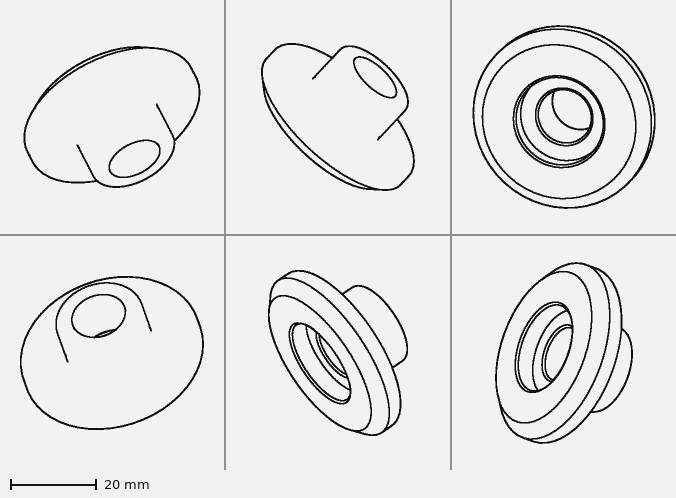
import cadquery as cq

flange_diameter = 43.0
total_length = 18.5
flange_thickness = 7.0
flange_bevel = 3.0
hub_diameter = 20.8
bore_diameter = 12.8
recess_diameter = 21.03
recess_depth = 4.75
edge_round = 1.0
root_fillet = 0.5
edge_chamfer = 0.5


def disc(diameter, start, length):
    """Cylinder along +X from the given start position."""
    return cq.Workplane("YZ", origin=(start, 0, 0)).circle(diameter / 2).extrude(length)


def flared_hole(diameter, start, length):
    """Cutting tool: a hole with a 45 degree chamfer at its entrance."""
    entrance_diameter = diameter + 2 * edge_chamfer
    mouth = cq.Workplane("YZ", origin=(start, 0, 0)).circle(entrance_diameter / 2)
    entrance = mouth.extrude(edge_chamfer, taper=45)
    return disc(diameter, start, length).union(entrance)


flange = disc(flange_diameter, 0, flange_thickness)
flange = flange.faces("<X").edges().chamfer(flange_bevel)
flange = flange.faces(">X").edges().fillet(edge_round)

hub = disc(hub_diameter, 0, total_length).faces(">X").edges().fillet(edge_round)
body = flange.union(hub)
root_plane = cq.selectors.BoxSelector(
    (flange_thickness - root_fillet, -hub_diameter, -hub_diameter),
    (flange_thickness + root_fillet, hub_diameter, hub_diameter),
)
smallest_circle = cq.selectors.RadiusNthSelector(0)
body = body.edges(root_plane).edges(smallest_circle).fillet(root_fillet)

recess = flared_hole(recess_diameter, 0, recess_depth)
bore = flared_hole(bore_diameter, recess_depth, total_length - recess_depth)
result = body.cut(recess).cut(bore)